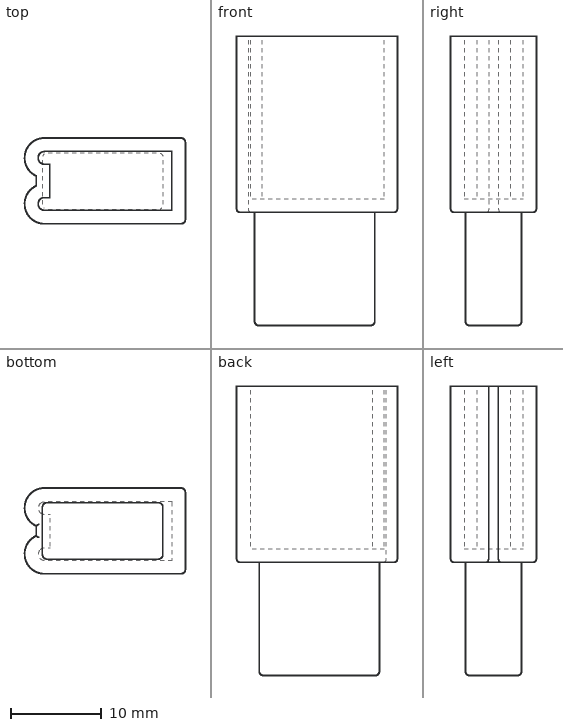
import cadquery as cq
import math

length = 17.8
width = 9.5
height = 32.0

wall = 1.5
lobe_radius = 2.2
groove_depth = 1.28
sleeve_corner_radius = 0.5
sleeve_bottom_radius = 0.4

plug_length = 13.3
plug_width = 6.25
plug_height = 12.5
plug_offset = 2.0
plug_edge_radius = 0.5

half_width = width / 2
lobe_y = half_width - lobe_radius
groove_dx = lobe_radius - groove_depth
groove_half_width = lobe_y - math.sqrt(lobe_radius**2 - groove_dx**2)
sleeve_height = height - plug_height
pocket_radius = lobe_radius - wall
pocket_half_width = half_width - wall
pocket_shelf_x = groove_depth + wall
pocket_shelf_y = lobe_y - pocket_radius
pocket_end_x = length - wall
pocket_floor_z = plug_height + wall


def make_sleeve():
    """Outer sleeve body, with a full-height groove between the lobes."""
    body = (
        cq.Workplane("XY", origin=(0, 0, plug_height))
        .moveTo(lobe_radius, -half_width)
        .lineTo(length, -half_width)
        .lineTo(length, half_width)
        .lineTo(lobe_radius, half_width)
        .threePointArc((0, lobe_y), (groove_depth, groove_half_width))
        .lineTo(groove_depth, -groove_half_width)
        .threePointArc((0, -lobe_y), (lobe_radius, -half_width))
        .close()
        .extrude(sleeve_height)
    )
    body = body.edges("|Z and >X").fillet(sleeve_corner_radius)
    return body.faces("<Z").edges().fillet(sleeve_bottom_radius)


def make_pocket():
    """Blind pocket, open at the top, that reaches into both lobes."""
    return (
        cq.Workplane("XY", origin=(0, 0, pocket_floor_z))
        .moveTo(lobe_radius, -pocket_half_width)
        .lineTo(pocket_end_x, -pocket_half_width)
        .lineTo(pocket_end_x, pocket_half_width)
        .lineTo(lobe_radius, pocket_half_width)
        .threePointArc((wall, lobe_y), (lobe_radius, pocket_shelf_y))
        .lineTo(pocket_shelf_x, pocket_shelf_y)
        .lineTo(pocket_shelf_x, -pocket_shelf_y)
        .lineTo(lobe_radius, -pocket_shelf_y)
        .threePointArc((wall, -lobe_y), (lobe_radius, -pocket_half_width))
        .close()
        .extrude(height - pocket_floor_z)
    )


def make_plug():
    """Solid rectangular plug with rounded upright and bottom edges."""
    plug = cq.Workplane("XY").box(plug_length, plug_width, plug_height, centered=(False, True, False))
    plug = plug.edges("|Z or <Z").fillet(plug_edge_radius)
    return plug.translate((plug_offset, 0, 0))


result = make_sleeve().cut(make_pocket()).union(make_plug())